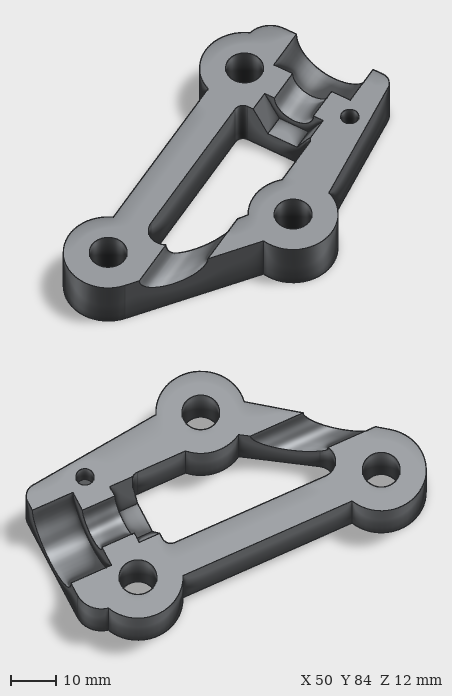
import cadquery as cq
import math

thickness = 12.0
boss_radius = 10.0
hole_diameter = 8.4
total_length = 84.0
total_width = 50.0
boss_pitch = 30.0
top_edge = total_length - boss_radius
lower_boss = (0, 0)
upper_boss = (0, 2 * boss_pitch)
side_boss = (total_width - 2 * boss_radius, boss_pitch)
boss_centres = [lower_boss, upper_boss, side_boss]

rail_half_width = 4.0
top_right_x = 30.0
side_edge_end = (34.85, boss_pitch)
strut_outer_end = (28.1, 20.15)
top_left_radius = 6.0
top_right_radius = 3.0

window_right = 23.0
window_top = top_edge - 23.0
window_corner_radius = 2.0
window_toe_radius = 4.0
window_toe_y = 11.8
strut_inner_end = (21.5, 24.85)

shaft_x = side_boss[0] / 2
shaft_diameter = 10.0
bearing_diameter = 19.65
bearing_length = 10.0
nut_corner_diameter = 15.0
nut_start = top_edge - 18.0

pin_centre = (27.0, upper_boss[1])
pin_diameter = 4.0
pin_depth = 6.0


def tangent_point(centre, radius, point):
    """Touch point, on the right of centre-to-point, of the tangent through point."""
    dx = point[0] - centre[0]
    dy = point[1] - centre[1]
    direction = math.atan2(dy, dx) - math.acos(radius / math.hypot(dx, dy))
    return (centre[0] + radius * math.cos(direction), centre[1] + radius * math.sin(direction))


def make_frame():
    strut_start = tangent_point(lower_boss, boss_radius, strut_outer_end)
    outline = [
        (-rail_half_width, 0),
        lower_boss,
        strut_start,
        strut_outer_end,
        side_boss,
        side_edge_end,
        (top_right_x, top_edge),
        (-rail_half_width, top_edge),
    ]
    frame = cq.Workplane("XY").polyline(outline).close().extrude(thickness)
    top_corners = frame.faces(">Y").edges("|Z")
    frame = top_corners.edges("<X").fillet(top_left_radius)
    return frame.faces(">Y").edges("|Z").edges(">X").fillet(top_right_radius)


def make_window():
    toe_centre = (rail_half_width + window_toe_radius, window_toe_y)
    toe_end = tangent_point(toe_centre, window_toe_radius, strut_inner_end)
    toe_bottom = (toe_centre[0], window_toe_y - window_toe_radius)
    window = (
        cq.Workplane("XY")
        .moveTo(rail_half_width, window_top)
        .lineTo(rail_half_width, window_toe_y)
        .threePointArc(toe_bottom, toe_end)
        .lineTo(*strut_inner_end)
        .lineTo(window_right, boss_pitch)
        .lineTo(window_right, window_top)
        .close()
        .extrude(thickness)
    )
    return window.faces(">Y").edges("|Z").fillet(window_corner_radius)


def make_shaft_seat():
    top_plane = cq.Workplane("XZ", origin=(shaft_x, top_edge, thickness))
    shaft = top_plane.circle(shaft_diameter / 2).extrude(total_length)
    bearing = top_plane.circle(bearing_diameter / 2).extrude(bearing_length)
    nut_plane = cq.Workplane("XZ", origin=(shaft_x, nut_start, thickness))
    nut_length = nut_start - window_top + window_corner_radius
    nut = nut_plane.polygon(6, nut_corner_diameter).extrude(nut_length)
    return shaft.union(bearing).union(nut)


def make_pin_hole():
    plane = cq.Workplane("XY", origin=(0, 0, thickness))
    return plane.center(*pin_centre).circle(pin_diameter / 2).extrude(-pin_depth)


bosses = cq.Workplane("XY").pushPoints(boss_centres).circle(boss_radius).extrude(thickness)
holes = cq.Workplane("XY").pushPoints(boss_centres).circle(hole_diameter / 2).extrude(thickness)

result = (
    make_frame()
    .cut(make_window())
    .union(bosses)
    .cut(holes)
    .cut(make_shaft_seat())
    .cut(make_pin_hole())
)